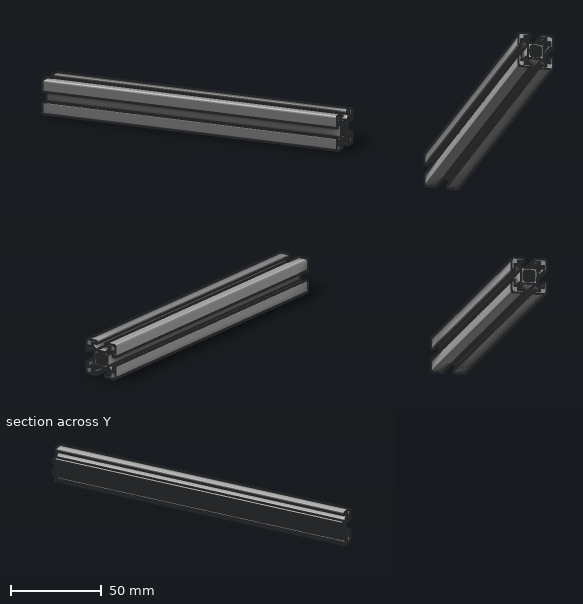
import cadquery as cq
import math

length = 180.0
width = 20.0
corner_radius = 1.3

slot_opening = 6.0
lip_thickness = 1.6
lip_round = 0.5
slot_inner_width = 12.5

core_width = 9.2
web_thickness = 1.53

bore_lobe_radius = 3.6
bore_lobe_half_width = 2.0
ridge_height = 2.5
ridge_inner = 0.7
ridge_outer = 1.5
groove_half_width = 0.4
groove_height = 3.0

side = width / 2
lip_inner = side - lip_thickness
half_core = core_width / 2
half_slot = slot_inner_width / 2
web_offset = web_thickness / math.sqrt(2)


def bar(across_y, across_z):
    """Full-length rectangular bar centred on the X axis."""
    return cq.Workplane("YZ").rect(across_y, across_z).extrude(length)


def turned(body, quarter):
    """Copy of a body turned about the X axis by quarter turns."""
    return body.rotate((0, 0, 0), (1, 0, 0), 90 * quarter)


def turned_point(y, z, quarter):
    """Point of the cross-section turned clockwise by quarter turns."""
    for _ in range(quarter):
        y, z = z, -y
    return y, z


def slot_cutter():
    """T-slot on the +Z side, with rounded outer lips and a flat floor."""
    half_opening = slot_opening / 2
    undercut = [
        (half_opening, lip_inner),
        (half_slot, lip_inner),
        (half_slot, half_slot + web_offset),
        (half_core - web_offset, half_core),
    ]
    mirrored = [(-y, z) for y, z in reversed(undercut)]
    return (
        cq.Workplane("YZ")
        .moveTo(half_opening + lip_round, side)
        .radiusArc((half_opening, side - lip_round), -lip_round)
        .polyline(undercut, includeCurrent=True)
        .polyline(mirrored, includeCurrent=True)
        .lineTo(-half_opening, side - lip_round)
        .radiusArc((-half_opening - lip_round, side), -lip_round)
        .close()
        .extrude(length)
    )


def bore_cutter():
    """Central bore, drawn one wall and one corner lobe at a time."""
    lobe_height = math.sqrt(bore_lobe_radius**2 - bore_lobe_half_width**2)
    lobe_middle = bore_lobe_radius / math.sqrt(2)
    half_wall = [
        (groove_half_width, groove_height),
        (ridge_inner, ridge_height),
        (ridge_outer, ridge_height),
        (bore_lobe_half_width, lobe_height),
    ]
    wall = [(-y, z) for y, z in reversed(half_wall)] + half_wall

    outline = cq.Workplane("YZ").moveTo(*wall[0])
    for quarter in range(4):
        for y, z in wall[1:]:
            outline = outline.lineTo(*turned_point(y, z, quarter))
        outline = outline.threePointArc(
            turned_point(lobe_middle, lobe_middle, quarter),
            turned_point(lobe_height, bore_lobe_half_width, quarter),
        )
    return outline.close().extrude(length)


profile = bar(width, width).edges("|X").fillet(corner_radius)
for quarter in range(4):
    profile = profile.cut(turned(slot_cutter(), quarter))

result = profile.cut(bore_cutter()).translate((-length / 2, 0, 0))